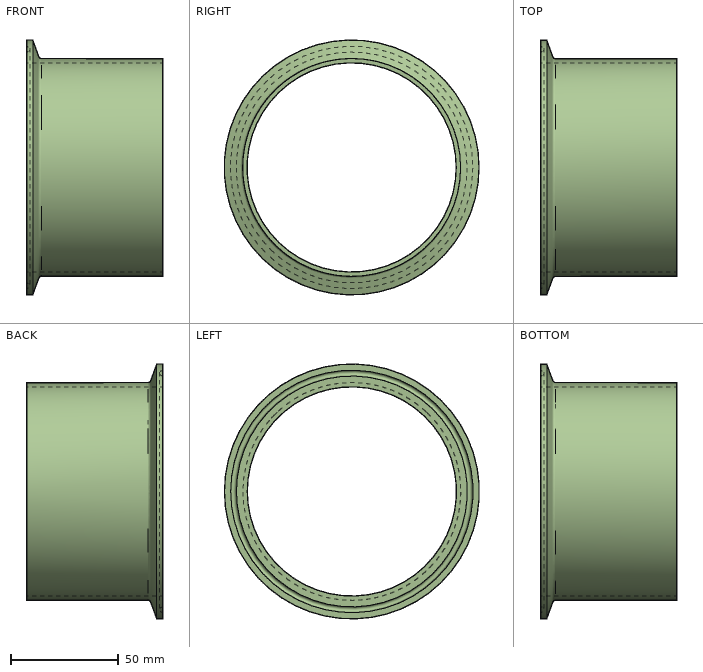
import cadquery as cq
import math


length = 63.5
tube_radius = 101.6 / 2
bore_radius = 97.38 / 2

flange_radius = 118.92 / 2
rim_width = 2.87
taper_angle = math.radians(20)
neck_fillet = 1.25

groove_outer_radius = 56.5
groove_inner_radius = 53.8
groove_wall_depth = 0.8
groove_wall_angle = math.radians(20)


def revolve_about_x(profile):
    """Turn a closed profile, drawn as (x, radius), about the X axis."""
    return profile.close().revolve(360, (0, 0, 0), (1, 0, 0))


def make_body():
    """Bored tube and flange, with a rounded neck where the taper meets the tube."""
    neck_x = rim_width + (flange_radius - tube_radius) * math.tan(taper_angle)
    profile = (
        cq.Workplane("XY")
        .moveTo(0, bore_radius)
        .lineTo(0, flange_radius)
        .lineTo(rim_width, flange_radius)
        .lineTo(neck_x, tube_radius)
        .lineTo(length, tube_radius)
        .lineTo(length, bore_radius)
    )
    neck_edge = cq.selectors.NearestToPointSelector((neck_x, 0, 0))
    return revolve_about_x(profile).edges(neck_edge).fillet(neck_fillet)


def make_groove():
    """Ring that is cut into the flange face to leave the gasket groove."""
    middle_radius = (groove_outer_radius + groove_inner_radius) / 2
    wall_offset = groove_wall_depth * math.tan(groove_wall_angle)
    half_bottom_width = (groove_outer_radius - groove_inner_radius) / 2 - wall_offset
    bottom_round = half_bottom_width / math.cos(groove_wall_angle)
    groove_depth = groove_wall_depth + bottom_round * (1 - math.sin(groove_wall_angle))
    profile = (
        cq.Workplane("XY")
        .moveTo(0, groove_outer_radius)
        .lineTo(groove_wall_depth, middle_radius + half_bottom_width)
        .threePointArc((groove_depth, middle_radius), (groove_wall_depth, middle_radius - half_bottom_width))
        .lineTo(0, groove_inner_radius)
    )
    return revolve_about_x(profile)


result = make_body().cut(make_groove())